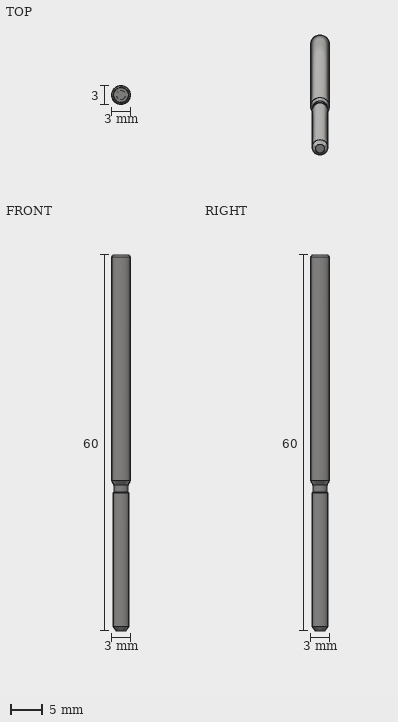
import cadquery as cq

total_length = 60.0

shank_radius = 1.5
shank_bottom = 24.0
shank_chamfer = 0.3
taper_height = 0.7
neck_radius = 1.15

working_radius = 1.25
working_top = 22.2
shoulder_height = 0.2
tip_radius = 0.7
tip_height = 0.7


def revolve_profile(points):
    """Revolve a closed (radius, height) outline about the Z axis."""
    return (
        cq.Workplane("XZ")
        .polyline(points)
        .close()
        .revolve(360, (0, 0, 0), (0, 1, 0))
    )


def make_shank():
    """Chamfered shank with its taper and neck."""
    return revolve_profile([
        (0, working_top),
        (neck_radius, working_top),
        (neck_radius, shank_bottom - taper_height),
        (shank_radius, shank_bottom),
        (shank_radius, total_length - shank_chamfer),
        (shank_radius - shank_chamfer, total_length),
        (0, total_length),
    ])


def make_working_section():
    """Slimmer cylinder with a sloped shoulder and a conical tip, butting against the neck."""
    return revolve_profile([
        (0, 0),
        (tip_radius, 0),
        (working_radius, tip_height),
        (working_radius, working_top - shoulder_height),
        (neck_radius, working_top),
        (0, working_top),
    ])


shank = make_shank()
working_section = make_working_section()

result = cq.Compound.makeCompound([shank.val(), working_section.val()])